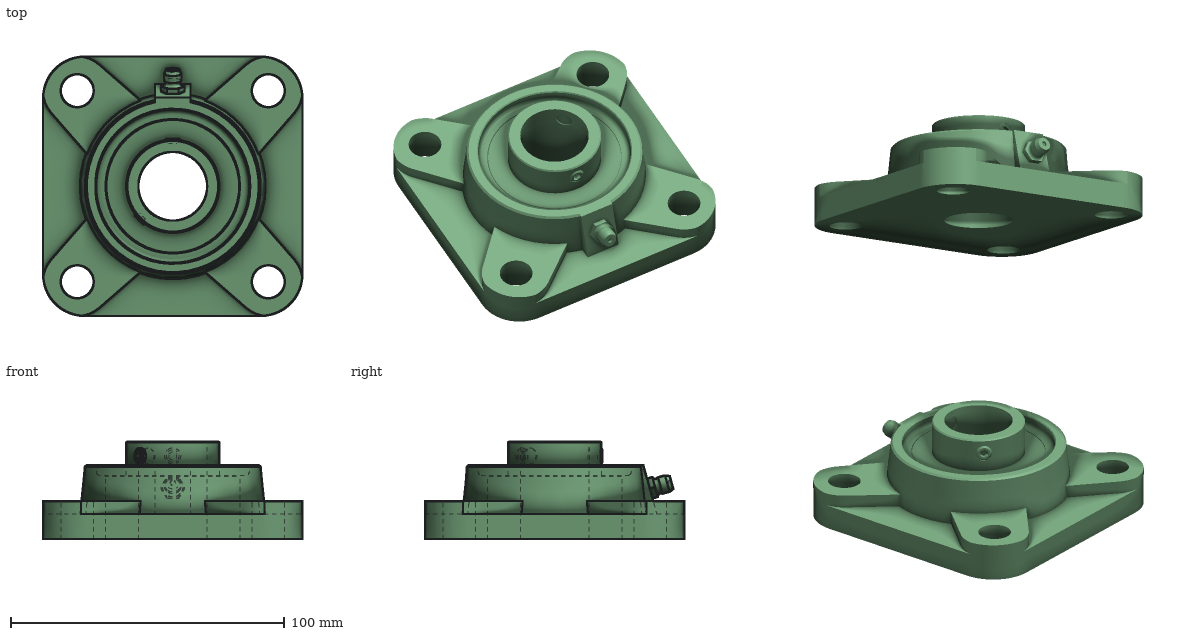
import cadquery as cq
import math

flange_width = 95.0
flange_thickness = 9.1
corner_radius = 15.4

boss_top = 13.9
bolt_offset = 35.0
bolt_hole_radius = 6.0
boss_radius = flange_width / 2 - bolt_offset
boss_flank_angle = 4.0

hub_base_radius = 34.0
hub_top = 27.1
hub_draft_angle = 6.0
hub_edge_chamfer = 0.7

recess_radius = 28.0
recess_floor = 23.2
recess_floor_fillet = 1.5
recess_mouth_chamfer = 0.4

lug_width = 12.9
lug_top_reach = 32.4
lug_face_angle = 15.5

ring_radius = 24.6
ring_edge_chamfer = 0.3
collar_radius = 17.1
collar_top = 35.7
collar_edge_chamfer = 0.5
shaft_radius = 12.5

screw_radius = 2.9
screw_height = 30.4
screw_angles = (90.0, 225.0)
screw_tip_distance = shaft_radius + 0.2
screw_head_distance = collar_radius + 0.4
screw_edge_chamfer = 0.7
socket_corner_diameter = 3.2
socket_depth = 1.9

nipple_height = 18.5
hex_across_flats = 7.6
hex_thickness = 2.0
shoulder_radius = 3.7
neck_radius = 2.85
neck_position = 3.0
head_radius = 3.1
head_start = 4.0
head_end = 6.65
tip_radius = 2.5
nipple_length = 8.3
grease_hole_radius = 0.95
grease_hole_depth = 0.95


def flange_plate(thickness):
    """Square plate with rounded corners, standing on Z = 0."""
    plate = cq.Workplane("XY").rect(flange_width, flange_width).extrude(thickness)
    return plate.edges("|Z").fillet(corner_radius)


def corner_boss(angle):
    """Raised boss: a disc around the bolt hole with straight flanks widening to the hub."""
    flank = math.radians(boss_flank_angle)
    hole_distance = bolt_offset * math.sqrt(2)
    tangent_x = hole_distance + boss_radius * math.sin(flank)
    tangent_y = boss_radius * math.cos(flank)
    root_y = tangent_y + tangent_x * math.tan(flank)
    boss = (
        cq.Workplane("XY")
        .moveTo(0, -root_y)
        .lineTo(tangent_x, -tangent_y)
        .threePointArc((hole_distance + boss_radius, 0), (tangent_x, tangent_y))
        .lineTo(0, root_y)
        .close()
        .extrude(boss_top)
    )
    return boss.rotate((0, 0, 0), (0, 0, 1), angle)


def hub():
    """Tapered round hub with a chamfered top edge."""
    hub_height = hub_top - flange_thickness
    top_radius = hub_base_radius - hub_height * math.tan(math.radians(hub_draft_angle))
    profile = (
        cq.Workplane("XZ")
        .moveTo(0, 0)
        .lineTo(hub_base_radius, 0)
        .lineTo(hub_base_radius, flange_thickness)
        .lineTo(top_radius, hub_top)
        .lineTo(0, hub_top)
        .close()
    )
    return profile.revolve(360, (0, 0, 0), (0, 1, 0)).faces(">Z").chamfer(hub_edge_chamfer)


def lug_face_reach(height):
    """Distance of the sloping lug face from the bearing axis at a given height."""
    return lug_top_reach + (hub_top - height) * math.tan(math.radians(lug_face_angle))


def nipple_lug():
    """Block on the +Y side of the hub with a sloping outer face."""
    profile = (
        cq.Workplane("YZ")
        .moveTo(0, 0)
        .lineTo(lug_face_reach(flange_thickness), 0)
        .lineTo(lug_face_reach(flange_thickness), flange_thickness)
        .lineTo(lug_top_reach, hub_top)
        .lineTo(0, hub_top)
        .close()
    )
    return profile.extrude(lug_width / 2, both=True)


def hub_recess():
    """Round recess in the hub top with a rounded floor edge and a chamfered mouth."""
    recess = (
        cq.Workplane("XY", origin=(0, 0, recess_floor))
        .circle(recess_radius)
        .extrude(hub_top - recess_floor)
        .faces("<Z")
        .edges()
        .fillet(recess_floor_fillet)
    )
    mouth = cq.Solid.makeCone(
        recess_radius,
        recess_radius + recess_mouth_chamfer,
        recess_mouth_chamfer,
        pnt=cq.Vector(0, 0, hub_top - recess_mouth_chamfer),
    )
    return recess.union(cq.Workplane(mouth))


def build_housing():
    bosses = corner_boss(45)
    for angle in (135, 225, 315):
        bosses = bosses.union(corner_boss(angle))
    bosses = bosses.intersect(flange_plate(boss_top))

    bolt_holes = (
        cq.Workplane("XY")
        .rect(2 * bolt_offset, 2 * bolt_offset, forConstruction=True)
        .vertices()
        .circle(bolt_hole_radius)
        .extrude(boss_top)
    )
    body = flange_plate(flange_thickness).union(bosses).union(hub()).union(nipple_lug())
    return body.cut(bolt_holes).cut(hub_recess()).cut(ring_blank())


def ring_blank():
    """Bearing ring, which also shapes its seat in the housing."""
    return cq.Workplane("XY").circle(ring_radius).extrude(recess_floor)


def along_collar_radius(shape, angle):
    """Move a shape built along +Z onto a radial line of the collar."""
    turned = shape.rotate((0, 0, 0), (0, 1, 0), 90).translate((0, 0, screw_height))
    return turned.rotate((0, 0, 0), (0, 0, 1), angle)


def set_screw():
    """Screw along +Z with a chamfered head and a hexagonal socket."""
    length = screw_head_distance - screw_tip_distance
    screw = (
        cq.Workplane("XY", origin=(0, 0, screw_tip_distance))
        .circle(screw_radius)
        .extrude(length)
        .faces(">Z")
        .chamfer(screw_edge_chamfer)
    )
    return screw.faces(">Z").workplane().polygon(6, socket_corner_diameter).cutBlind(-socket_depth)


def build_bearing():
    ring = ring_blank().faces(">Z").chamfer(ring_edge_chamfer)
    collar = (
        cq.Workplane("XY")
        .circle(collar_radius)
        .extrude(collar_top)
        .faces(">Z")
        .chamfer(collar_edge_chamfer)
    )
    bore = cq.Workplane("XY").circle(shaft_radius).extrude(collar_top)
    bearing = ring.union(collar).cut(bore)

    screw_hole = cq.Workplane("XY").circle(screw_radius).extrude(screw_head_distance)
    for angle in screw_angles:
        bearing = bearing.cut(along_collar_radius(screw_hole, angle))
        bearing = bearing.union(along_collar_radius(set_screw(), angle))
    return bearing


def build_nipple():
    """Grease nipple built along +Z, then tilted to stand square on the lug face."""
    hex_corner_diameter = hex_across_flats / math.cos(math.pi / 6)
    hex_base = cq.Workplane("XY").polygon(6, hex_corner_diameter).extrude(hex_thickness)
    stem = (
        cq.Workplane("XZ")
        .moveTo(0, 0)
        .lineTo(shoulder_radius, 0)
        .lineTo(shoulder_radius, hex_thickness)
        .threePointArc((neck_radius, neck_position), (head_radius, head_start))
        .lineTo(head_radius, head_end)
        .lineTo(tip_radius, nipple_length)
        .lineTo(0, nipple_length)
        .close()
        .revolve(360, (0, 0, 0), (0, 1, 0))
    )
    upright = hex_base.union(stem).faces(">Z").workplane()
    upright = upright.circle(grease_hole_radius).cutBlind(-grease_hole_depth)
    nipple = upright.rotate((0, 0, 0), (1, 0, 0), lug_face_angle - 90)
    return nipple.translate((0, lug_face_reach(nipple_height), nipple_height))


housing = build_housing()
bearing = build_bearing()
nipple = build_nipple()

result = cq.Compound.makeCompound([housing.val(), bearing.val(), nipple.val()])